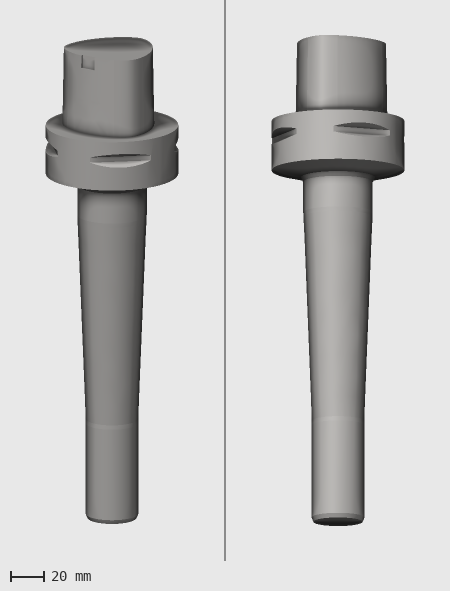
import cadquery as cq
import math

total_length = 293.0

tip_radius = 32.0 / 2
tip_chamfer_width = 1.2
tip_chamfer_height = 2.5
tip_top = 59.2
neck_radius = 42.0 / 2
neck_bottom = 189.3
blend_height = 2.5
blend_step = 0.12
taper_bottom_radius = tip_radius - blend_step
taper_top_radius = neck_radius - blend_step

flange_radius = 80.0 / 2
flange_height = 30.2
flange_cone_height = 4.5
neck_fillet_width = 1.5
neck_fillet_height = 2.5

shank_height = 47.8
shank_base_radius = 55.5 / 2
shank_top_radius = 53.5 / 2
lobe_height = 2.3
lobe_half_angle = 35.0
outline_steps = 8

notch_width = 10.0
notch_height = 8.0
notch_floor = 22.5

groove_count = 4
groove_drop = 11.7
groove_floor_distance = 35.5
groove_floor_height = 3.2
groove_mouth_height = 8.5

flange_top = total_length - shank_height
flange_bottom = flange_top - flange_height
cone_bottom = flange_bottom - flange_cone_height


def make_round_body():
    """Revolve the shaft and flange about Z."""
    return (
        cq.Workplane("XZ")
        .lineTo(tip_radius - tip_chamfer_width, 0)
        .lineTo(tip_radius, tip_chamfer_height)
        .lineTo(tip_radius, tip_top)
        .lineTo(taper_bottom_radius, tip_top + blend_height)
        .lineTo(taper_top_radius, neck_bottom - blend_height)
        .lineTo(neck_radius, neck_bottom)
        .lineTo(neck_radius, cone_bottom - neck_fillet_height)
        .lineTo(neck_radius + neck_fillet_width, cone_bottom)
        .lineTo(flange_radius, flange_bottom)
        .lineTo(flange_radius, flange_top)
        .lineTo(0, flange_top)
        .close()
        .revolve(360, (0, 0), (0, 1))
    )


def outline_point(mean_radius, angle, z):
    """Point of the three-lobed outline whose outward normal has the given angle from +Y."""
    a = math.radians(angle)
    reach = mean_radius + lobe_height * math.cos(3 * a)
    slide = -3 * lobe_height * math.sin(3 * a)
    x = -reach * math.sin(a) - slide * math.cos(a)
    y = reach * math.cos(a) - slide * math.sin(a)
    return cq.Vector(x, y, z)


def outline_wire(mean_radius, z):
    """Closed outline of three lobes and three flanks."""
    edges = []
    for lobe in range(3):
        start = 120 * lobe - lobe_half_angle
        middle = 120 * lobe + lobe_half_angle
        end = start + 120
        for first, last in ((start, middle), (middle, end)):
            step = (last - first) / outline_steps
            points = [outline_point(mean_radius, first + i * step, z) for i in range(outline_steps + 1)]
            edges.append(cq.Edge.makeSpline(points))
    return cq.Wire.assembleEdges(edges)


def make_shank():
    base = outline_wire(shank_base_radius, flange_top)
    top = outline_wire(shank_top_radius, total_length)
    return cq.Workplane(cq.Solid.makeLoft([base, top], True))


def make_notch():
    """Cutter for the key notch on the -Y flank."""
    return (
        cq.Workplane("XY", origin=(0, -notch_floor, total_length))
        .box(notch_width, shank_base_radius, notch_height, centered=(True, False, False))
        .translate((0, -shank_base_radius, -notch_height))
    )


def make_groove():
    """Straight flat-floored groove with sloping walls, on the +X side."""
    floor = groove_floor_height / 2
    mouth = groove_mouth_height / 2
    return (
        cq.Workplane("XZ", origin=(0, 0, flange_top - groove_drop))
        .polyline([
            (groove_floor_distance, -floor),
            (flange_radius, -mouth),
            (flange_radius, mouth),
            (groove_floor_distance, floor),
        ])
        .close()
        .extrude(flange_radius, both=True)
    )


result = make_round_body().union(make_shank()).cut(make_notch())
for index in range(groove_count):
    groove_angle = (index + 0.5) * 360 / groove_count
    result = result.cut(make_groove().rotate((0, 0, 0), (0, 0, 1), groove_angle))